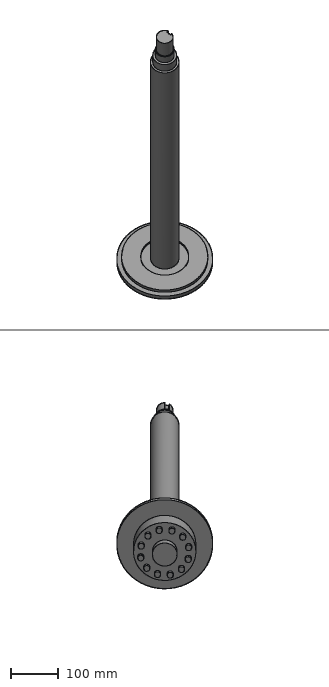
import cadquery as cq

total_height = 807.0
pilot_height = 17.0
hub_height = 40.0
flange_height = 10.5
raised_face_height = 7.0

pilot_diameter = 52.0
hub_diameter = 130.0
flange_diameter = 200.0
raised_face_diameter = 180.0
recess_diameter = 100.0
recess_depth = 5.0

bolt_count = 12
bolt_circle_diameter = 102.5
bolt_head_diameter = 13.0
bolt_head_height = 8.0

shaft_diameter = 60.0
collar_diameter = 50.0
collar_length = 22.0
neck_diameter = 39.5
neck_length = 19.0
tip_diameter = 35.0
tip_length = 42.0

keyway_width = 10.0
keyway_depth = 5.0
keyway_length = 35.0

flange_bottom = pilot_height + hub_height
flange_top = flange_bottom + flange_height
raised_face_top = flange_top + raised_face_height
tip_bottom = total_height - tip_length
neck_bottom = tip_bottom - neck_length
collar_bottom = neck_bottom - collar_length


def cylinder(diameter, bottom, top):
    """Cylinder on the part axis between two levels."""
    return cq.Workplane("XY").workplane(offset=bottom).circle(diameter / 2).extrude(top - bottom)


def make_flange():
    """Pilot, hub and flange with the round recess in its top face."""
    flange = cylinder(pilot_diameter, 0, flange_bottom)
    flange = flange.union(cylinder(hub_diameter, pilot_height, flange_bottom))
    flange = flange.union(cylinder(flange_diameter, flange_bottom, flange_top))
    flange = flange.union(cylinder(raised_face_diameter, flange_top, raised_face_top))
    recess = cylinder(recess_diameter, raised_face_top - recess_depth, raised_face_top)
    return flange.cut(recess)


def make_bolt_heads():
    """Ring of round bolt heads hanging from the underside of the hub."""
    return (
        cq.Workplane("XY")
        .workplane(offset=pilot_height - bolt_head_height)
        .polarArray(bolt_circle_diameter / 2, 0, 360, bolt_count)
        .circle(bolt_head_diameter / 2)
        .extrude(bolt_head_height)
    )


def make_shaft():
    """Long shaft with a collar, neck and tip of decreasing diameter."""
    shaft = cylinder(shaft_diameter, flange_bottom, collar_bottom)
    shaft = shaft.union(cylinder(collar_diameter, collar_bottom, neck_bottom))
    shaft = shaft.union(cylinder(neck_diameter, neck_bottom, tip_bottom))
    return shaft.union(cylinder(tip_diameter, tip_bottom, total_height))


def make_keyway():
    """Straight key slot in the tip."""
    return (
        cq.Workplane("XY")
        .box(keyway_width, keyway_depth, keyway_length, centered=(True, False, False))
        .translate((0, tip_diameter / 2 - keyway_depth, total_height - keyway_length))
    )


shaft = make_shaft().cut(make_keyway())
result = make_flange().union(make_bolt_heads()).union(shaft)